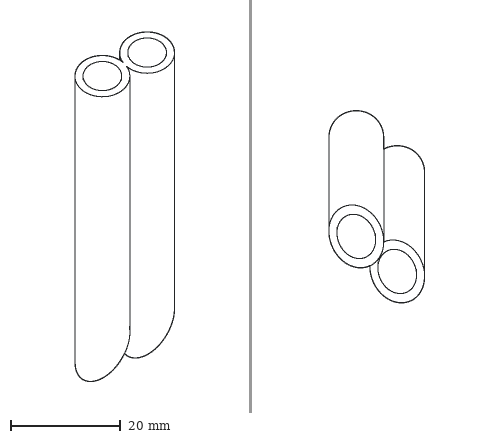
import cadquery as cq

length = 80.0
outer_diameter = 10.0
bore_diameter = 7.0
tube_spacing = 9.9

outer_radius = outer_diameter / 2
bevel_height = outer_diameter


def bevelled_tube(center_y):
    """Vertical tube whose lower end rises from its tip on the -Y side."""
    tube = (
        cq.Workplane("XY")
        .center(0, center_y)
        .circle(outer_radius)
        .circle(bore_diameter / 2)
        .extrude(length)
    )
    front_y = center_y - outer_radius
    back_y = center_y + outer_radius
    profile = (
        cq.Workplane("YZ")
        .polyline([(front_y, 0), (back_y, bevel_height), (back_y, length), (front_y, length)])
        .close()
        .extrude(outer_radius, both=True)
    )
    return tube.intersect(profile)


front_tube = bevelled_tube(-tube_spacing / 2)
back_tube = bevelled_tube(tube_spacing / 2)
result = front_tube.union(back_tube)